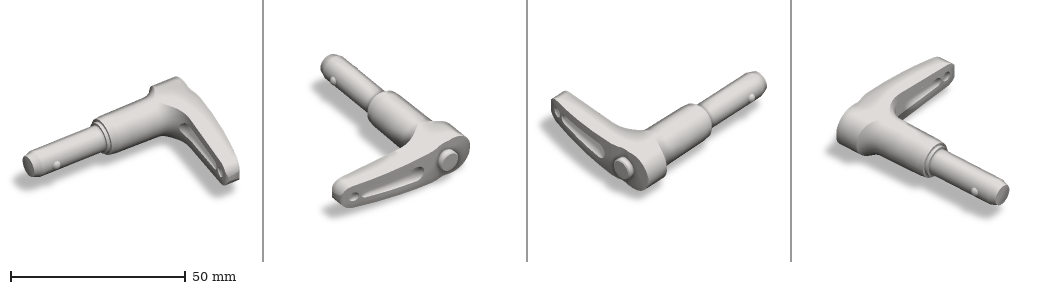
import cadquery as cq
import math

TOTAL_LENGTH = 55.9

PIN_TIP_RADIUS = 3.2
PIN_DIAMETER = 8.0
PIN_CHAMFER_LENGTH = 2.4
FLANGE_RADIUS = 4.75
FLANGE_BOTTOM = 23.75
SLEEVE_BOTTOM = 24.75
SLEEVE_BOTTOM_RADIUS = 5.55
SLEEVE_SHOULDER = 26.95
SLEEVE_SHOULDER_RADIUS = 5.8
SLEEVE_TOP = 41.1
SLEEVE_TOP_DIAMETER = 12.0
COLLAR_FILLET = 6.0

BALL_RADIUS = 1.5
BALL_HEIGHT = 7.05
BALL_REACH = 4.8

BUTTON_RADIUS = 3.25
BUTTON_CHAMFER = 0.35

HEAD_WIDTH = 12.7
HEAD_LEFT = -9.05
HANDLE_LENGTH = 44.2
TIP_RADIUS = 4.1
HOLE_RADIUS = 1.55
SLOT_WIDE_X = 10.8
SLOT_WIDE_RADIUS = 2.55
SLOT_NARROW_X = 27.25
SLOT_NARROW_RADIUS = 1.55

HEAD_TOP = 53.85
DIP_START = (-0.85, HEAD_TOP)
DIP_BOTTOM = (0.95, 53.7)
DIP_END = (3.1, 54.15)
HUMP = (5.4, 54.4)
BACK_MIDDLE = (20.1, 53.05)
BACK_END = (31.45, 50.6)
TIP_TOP = (34.9, 49.7)
TIP_BOTTOM_Y = 45.05
TIP_CORNER_RADIUS = 0.85
HEAD_CORNER_RADIUS = 0.45

handle_right = HEAD_LEFT + HANDLE_LENGTH
pin_radius = PIN_DIAMETER / 2
sleeve_top_radius = SLEEVE_TOP_DIAMETER / 2
head_radius = HEAD_WIDTH / 2
head_x = HEAD_LEFT + head_radius
tip_x = handle_right - TIP_RADIUS
collar_radius = sleeve_top_radius + COLLAR_FILLET
collar_top = SLEEVE_TOP + COLLAR_FILLET


def tapered_slot(x1, r1, x2, r2):
    """Solid through all Y, bounded by two circles on the X axis and their common tangents."""
    lean = (r1 - r2) / (x2 - x1)
    rise = math.sqrt(1 - lean**2)
    return (
        cq.Workplane("XZ")
        .moveTo(x1 + r1 * lean, r1 * rise)
        .lineTo(x2 + r2 * lean, r2 * rise)
        .threePointArc((x2 + r2, 0), (x2 + r2 * lean, -r2 * rise))
        .lineTo(x1 + r1 * lean, -r1 * rise)
        .threePointArc((x1 - r1, 0), (x1 + r1 * lean, r1 * rise))
        .close()
        .extrude(-2 * TOTAL_LENGTH)
    )


def turned_body():
    """Pin, flange and sleeve, flaring into the underside of the handle."""
    bend = COLLAR_FILLET * math.sqrt(0.5)
    return (
        cq.Workplane("XY")
        .lineTo(PIN_TIP_RADIUS, 0)
        .lineTo(pin_radius, PIN_CHAMFER_LENGTH)
        .lineTo(pin_radius, FLANGE_BOTTOM)
        .lineTo(FLANGE_RADIUS, FLANGE_BOTTOM)
        .lineTo(FLANGE_RADIUS, SLEEVE_BOTTOM)
        .lineTo(SLEEVE_BOTTOM_RADIUS, SLEEVE_BOTTOM)
        .lineTo(SLEEVE_SHOULDER_RADIUS, SLEEVE_SHOULDER)
        .lineTo(sleeve_top_radius, SLEEVE_TOP)
        .threePointArc((collar_radius - bend, SLEEVE_TOP + bend), (collar_radius, collar_top))
        .lineTo(0, collar_top)
        .close()
        .revolve(360, (0, 0, 0), (0, 1, 0))
    )


def handle_slab():
    """Side profile of the handle, as wide as the head."""
    slab = (
        cq.Workplane("XY")
        .moveTo(HEAD_LEFT, collar_top)
        .lineTo(HEAD_LEFT, HEAD_TOP)
        .lineTo(*DIP_START)
        .threePointArc(DIP_BOTTOM, DIP_END)
        .lineTo(*HUMP)
        .threePointArc(BACK_MIDDLE, BACK_END)
        .lineTo(*TIP_TOP)
        .lineTo(handle_right, TIP_BOTTOM_Y)
        .lineTo(collar_radius, collar_top)
        .close()
        .extrude(head_radius, both=True)
    )
    slab = slab.edges("|Z").edges(">X or >>X[-2]").fillet(TIP_CORNER_RADIUS)
    return slab.edges("|Z").edges("<X").edges(">Y").fillet(HEAD_CORNER_RADIUS)


def release_button():
    return (
        cq.Workplane("XZ", origin=(0, collar_top, 0))
        .circle(BUTTON_RADIUS)
        .extrude(collar_top - TOTAL_LENGTH)
        .faces(">Y")
        .chamfer(BUTTON_CHAMFER)
    )


def locking_balls():
    ball_x = BALL_REACH - BALL_RADIUS
    return (
        cq.Workplane("XY")
        .pushPoints([(-ball_x, BALL_HEIGHT), (ball_x, BALL_HEIGHT)])
        .sphere(BALL_RADIUS)
    )


outline = tapered_slot(head_x, head_radius, tip_x, TIP_RADIUS)
slot = tapered_slot(SLOT_WIDE_X, SLOT_WIDE_RADIUS, SLOT_NARROW_X, SLOT_NARROW_RADIUS)
tip_hole = cq.Workplane("XZ").center(tip_x, 0).circle(HOLE_RADIUS).extrude(-TOTAL_LENGTH)

result = (
    turned_body()
    .union(handle_slab())
    .intersect(outline)
    .cut(slot)
    .cut(tip_hole)
    .union(release_button())
    .union(locking_balls())
)